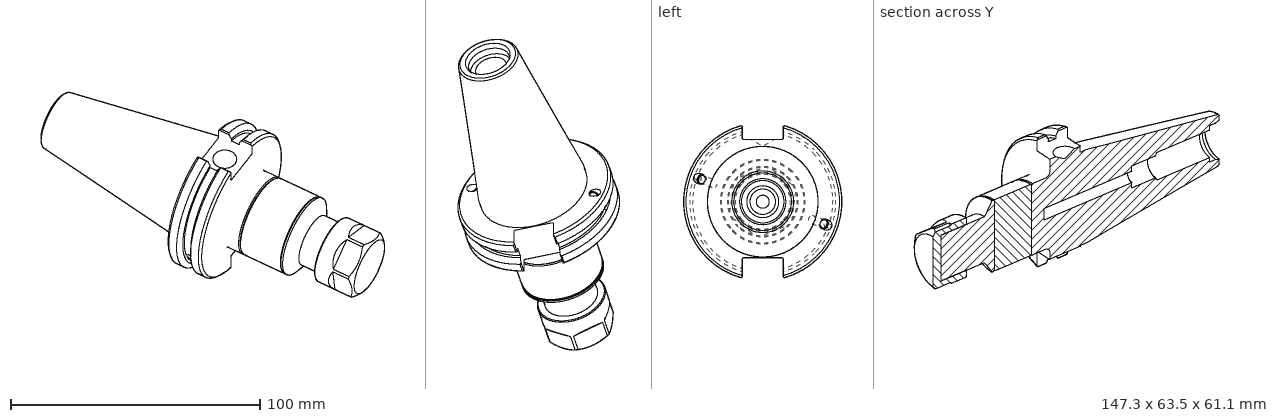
import cadquery as cq
import math


DRILL_POINT_ANGLE = 118.0

GAUGE_DIA = 44.45
TAPER_LENGTH = 68.25
TAPER_RATIO = 7 / 24
TAPER_END_CHAMFER = 0.75
TAPER_LAND_END = 1.5
RELIEF_START = 2.5
RELIEF_DIA = 44.3

CENTERING_DIA = 17.0
CENTERING_DEPTH = 5.0
CENTERING_CHAMFER = 0.75
CENTERING_CHAMFER_LENGTH = 2.0
PULL_STUD_CORE_DIA = 12.8
PULL_STUD_DEPTH = 32.0
INNER_BORE_DIA = 10.2
INNER_BORE_DEPTH = 45.0
COOLANT_BORE_DIA = 5.2
COOLANT_BORE_DEPTH = 90.0

FLANGE_START = 3.2
FLANGE_END = 19.0
FLANGE_DIA = 63.5
FLANGE_CHAMFER = 1.0
GROOVE_CENTER = (FLANGE_START + FLANGE_END) / 2
GROOVE_TOP_WIDTH = 6.6
GROOVE_FLOOR_WIDTH = 3.75
GROOVE_FLOOR_DIA = 56.2
GROOVE_FLANK_ANGLE = 30.0
FLANGE_ROOT_FILLET = 2.0

SLOT_WIDTH = 16.3
UPPER_SLOT_HEIGHT = 25.0
LOWER_SLOT_HEIGHT = 22.5
SLOT_CORNER_RADIUS = 0.5
SLOT_MOUTH_WIDTH = 17.3
SLOT_MOUTH_HEIGHT = 30.545
MARK_DIA = 9.53

HOLE_CORE_DIA = 3.24
FACE_HOLE_DIA = 4.2
FACE_HOLE_DEPTH = 2.0
FACE_CORE_DEPTH = 12.0
FACE_HOLE_TILT = 30.0
FACE_HOLE_PITCH_RADIUS = 27.0
GROOVE_HOLE_DIA = 4.0
GROOVE_HOLE_DEPTH = 1.0
COOLANT_HOLE_ROLL = 20.0

SHANK_DIA = 34.0
HOLDER_END = 28.4
JOINT_CHAMFER = 0.45
SLEEVE_TAPER_START = 46.4
SLEEVE_TAPER_DROP = 0.2
SLEEVE_END = 47.4
SHOULDER_CHAMFER = 0.4
SHOULDER_CONE_START = 48.6
SHOULDER_CONE_END = 52.2
NECK_DIA = 22.0
NECK_ROOT_CHAMFER = 0.4

NUT_START = 61.6
NUT_END = 79.0
NUT_DIA = 28.3
NUT_REAR_CHAMFER = 0.4
NUT_FRONT_CHAMFER_LENGTH = 1.75
NUT_FRONT_DIA = 23.6
NUT_ACROSS_FLATS = 25.1
NUT_FLATS_START = 69.9
NUT_FLAT_COUNT = 6
NUT_ROLL = 7.6
NUT_FRONT_WALL = 4.0


def revolve_profile(points):
    """Turn a closed outline of (x, radius) points about the X axis."""
    return cq.Workplane("XY").polyline(points).close().revolve(360, (0, 0, 0), (1, 0, 0))


def hole(start, direction, diameter, length):
    """Cylinder that starts at a point and runs along a direction."""
    cylinder = cq.Solid.makeCylinder(diameter / 2, length, cq.Vector(*start), cq.Vector(*direction))
    return cq.Workplane(cylinder)


def taper_and_flange():
    end_radius = (GAUGE_DIA - TAPER_LENGTH * TAPER_RATIO) / 2
    chamfer_rear_radius = end_radius - TAPER_END_CHAMFER
    chamfer_front_radius = end_radius + TAPER_END_CHAMFER * TAPER_RATIO / 2
    flange_radius = FLANGE_DIA / 2
    shank_radius = SHANK_DIA / 2
    half_top = GROOVE_TOP_WIDTH / 2
    half_floor = GROOVE_FLOOR_WIDTH / 2
    flank_depth = (half_top - half_floor) / math.tan(math.radians(GROOVE_FLANK_ANGLE))
    fillet_center_radius = shank_radius + FLANGE_ROOT_FILLET
    fillet_offset = FLANGE_ROOT_FILLET * (1 - math.sqrt(0.5))

    outline = (
        cq.Workplane("XY")
        .moveTo(-TAPER_LENGTH, 0)
        .lineTo(-TAPER_LENGTH, chamfer_rear_radius)
        .lineTo(-TAPER_LENGTH + TAPER_END_CHAMFER, chamfer_front_radius)
        .lineTo(0, GAUGE_DIA / 2)
        .lineTo(TAPER_LAND_END, GAUGE_DIA / 2)
        .lineTo(RELIEF_START, RELIEF_DIA / 2)
        .lineTo(FLANGE_START, RELIEF_DIA / 2)
        .lineTo(FLANGE_START, flange_radius - FLANGE_CHAMFER)
        .lineTo(FLANGE_START + FLANGE_CHAMFER, flange_radius)
        .lineTo(GROOVE_CENTER - half_top, flange_radius)
        .lineTo(GROOVE_CENTER - half_floor, flange_radius - flank_depth)
        .lineTo(GROOVE_CENTER - half_floor, GROOVE_FLOOR_DIA / 2)
        .lineTo(GROOVE_CENTER + half_floor, GROOVE_FLOOR_DIA / 2)
        .lineTo(GROOVE_CENTER + half_floor, flange_radius - flank_depth)
        .lineTo(GROOVE_CENTER + half_top, flange_radius)
        .lineTo(FLANGE_END - FLANGE_CHAMFER, flange_radius)
        .lineTo(FLANGE_END, flange_radius - FLANGE_CHAMFER)
        .lineTo(FLANGE_END, fillet_center_radius)
        .threePointArc(
            (FLANGE_END + fillet_offset, shank_radius + fillet_offset),
            (FLANGE_END + FLANGE_ROOT_FILLET, shank_radius),
        )
        .lineTo(HOLDER_END - JOINT_CHAMFER, shank_radius)
        .lineTo(HOLDER_END, shank_radius - JOINT_CHAMFER)
        .lineTo(HOLDER_END, 0)
        .close()
    )
    return outline.revolve(360, (0, 0, 0), (1, 0, 0))


def pull_stud_bore():
    centering_radius = CENTERING_DIA / 2
    core_radius = PULL_STUD_CORE_DIA / 2
    inner_radius = INNER_BORE_DIA / 2
    coolant_radius = COOLANT_BORE_DIA / 2
    cone_length = (core_radius - inner_radius) / math.tan(math.radians(DRILL_POINT_ANGLE / 2))
    stations = [
        (0, 0),
        (0, centering_radius + CENTERING_CHAMFER),
        (CENTERING_CHAMFER_LENGTH, centering_radius),
        (CENTERING_DEPTH, centering_radius),
        (CENTERING_DEPTH, core_radius),
        (PULL_STUD_DEPTH, core_radius),
        (PULL_STUD_DEPTH + cone_length, inner_radius),
        (INNER_BORE_DEPTH, inner_radius),
        (INNER_BORE_DEPTH, coolant_radius),
        (COOLANT_BORE_DEPTH, coolant_radius),
        (COOLANT_BORE_DEPTH, 0),
    ]
    return revolve_profile([(depth - TAPER_LENGTH, radius) for depth, radius in stations])


def drive_slot(floor_height):
    """Block that cuts one slot with chamfered mouth edges through the flange, on the +Z side."""
    slot_length = FLANGE_END - FLANGE_START
    half_width = SLOT_WIDTH / 2
    half_mouth = SLOT_MOUTH_WIDTH / 2
    chamfer_height = SLOT_MOUTH_HEIGHT - (half_mouth - half_width)
    top_height = FLANGE_DIA / 2 + SLOT_CORNER_RADIUS
    half_top = half_width + top_height - chamfer_height
    return (
        cq.Workplane("YZ", origin=(FLANGE_START, 0, 0))
        .polyline([
            (-half_width, floor_height),
            (half_width, floor_height),
            (half_width, chamfer_height),
            (half_top, top_height),
            (-half_top, top_height),
            (-half_width, chamfer_height),
        ])
        .close()
        .extrude(slot_length)
        .edges("|X and <Z")
        .fillet(SLOT_CORNER_RADIUS)
    )


def conical_mark():
    radius = MARK_DIA / 2
    depth = radius / math.tan(math.radians(DRILL_POINT_ANGLE / 2))
    top = cq.Vector(GROOVE_CENTER, 0, UPPER_SLOT_HEIGHT)
    return cq.Workplane(cq.Solid.makeCone(radius, 0, depth, top, cq.Vector(0, 0, -1)))


def face_coolant_hole():
    """Stepped hole on the +Y side that leans from the flange face towards the axis."""
    tilt = math.radians(FACE_HOLE_TILT)
    direction = (math.cos(tilt), -math.sin(tilt), 0)
    entry = (FLANGE_START, FACE_HOLE_PITCH_RADIUS, 0)
    lead = FACE_HOLE_DIA
    outside = tuple(e - lead * d for e, d in zip(entry, direction))
    wide = hole(outside, direction, FACE_HOLE_DIA, lead + FACE_HOLE_DEPTH)
    narrow = hole(entry, direction, HOLE_CORE_DIA, FACE_CORE_DEPTH)
    return wide.union(narrow)


def groove_hole():
    """Radial hole on the +Y side, from the groove floor, with a conical drill point."""
    bottom_radius = GROOVE_FLOOR_DIA / 2 - GROOVE_HOLE_DEPTH
    core_radius = HOLE_CORE_DIA / 2
    point_depth = core_radius / math.tan(math.radians(DRILL_POINT_ANGLE / 2))
    bottom = cq.Vector(GROOVE_CENTER, bottom_radius, 0)
    point = cq.Solid.makeCone(core_radius, 0, point_depth, bottom, cq.Vector(0, -1, 0))
    bore = hole(bottom.toTuple(), (0, 1, 0), GROOVE_HOLE_DIA, 2 * GROOVE_HOLE_DEPTH)
    return bore.union(cq.Workplane(point))


def make_holder():
    holder = taper_and_flange().cut(pull_stud_bore())
    holder = holder.cut(drive_slot(UPPER_SLOT_HEIGHT))
    holder = holder.cut(drive_slot(LOWER_SLOT_HEIGHT).rotate((0, 0, 0), (1, 0, 0), 180))
    holder = holder.cut(conical_mark())
    for side in range(2):
        roll = COOLANT_HOLE_ROLL + 180 * side
        holder = holder.cut(face_coolant_hole().rotate((0, 0, 0), (1, 0, 0), roll))
        holder = holder.cut(groove_hole().rotate((0, 0, 0), (1, 0, 0), roll))
    return holder


def make_sleeve():
    radius = SHANK_DIA / 2
    return revolve_profile([
        (HOLDER_END, 0),
        (HOLDER_END, radius - JOINT_CHAMFER),
        (HOLDER_END + JOINT_CHAMFER, radius),
        (SLEEVE_TAPER_START, radius),
        (SLEEVE_END, radius - SLEEVE_TAPER_DROP),
        (SLEEVE_END, 0),
    ])


def make_collet_chuck():
    """Conical shoulder with the neck that fills the blind bore of the nut."""
    radius = SHANK_DIA / 2
    neck_radius = NECK_DIA / 2
    neck_end = NUT_END - NUT_FRONT_WALL
    return revolve_profile([
        (SLEEVE_END, 0),
        (SLEEVE_END, radius - SHOULDER_CHAMFER),
        (SLEEVE_END + SHOULDER_CHAMFER, radius),
        (SHOULDER_CONE_START, radius),
        (SHOULDER_CONE_END, neck_radius + NECK_ROOT_CHAMFER),
        (SHOULDER_CONE_END + NECK_ROOT_CHAMFER, neck_radius),
        (neck_end, neck_radius),
        (neck_end, 0),
    ])


def nut_flat_cutter():
    """Wedge outside one flat on the +Y side, with a 45 degree run-out at its rear end."""
    flat_distance = NUT_ACROSS_FLATS / 2
    height = NUT_DIA - flat_distance
    return (
        cq.Workplane("XY")
        .polyline([
            (NUT_FLATS_START, flat_distance),
            (NUT_END, flat_distance),
            (NUT_END, flat_distance + height),
            (NUT_FLATS_START - height, flat_distance + height),
        ])
        .close()
        .extrude(NUT_DIA / 2, both=True)
    )


def make_nut():
    radius = NUT_DIA / 2
    bore_radius = NECK_DIA / 2
    bore_end = NUT_END - NUT_FRONT_WALL
    nut = revolve_profile([
        (NUT_START, bore_radius),
        (NUT_START, radius - NUT_REAR_CHAMFER),
        (NUT_START + NUT_REAR_CHAMFER, radius),
        (NUT_END - NUT_FRONT_CHAMFER_LENGTH, radius),
        (NUT_END, NUT_FRONT_DIA / 2),
        (NUT_END, 0),
        (bore_end, 0),
        (bore_end, bore_radius),
    ])
    for index in range(NUT_FLAT_COUNT):
        roll = NUT_ROLL + index * 360 / NUT_FLAT_COUNT
        nut = nut.cut(nut_flat_cutter().rotate((0, 0, 0), (1, 0, 0), roll))
    return nut


holder = make_holder()
sleeve = make_sleeve()
collet_chuck = make_collet_chuck()
nut = make_nut()

result = cq.Compound.makeCompound([holder.val(), sleeve.val(), collet_chuck.val(), nut.val()])